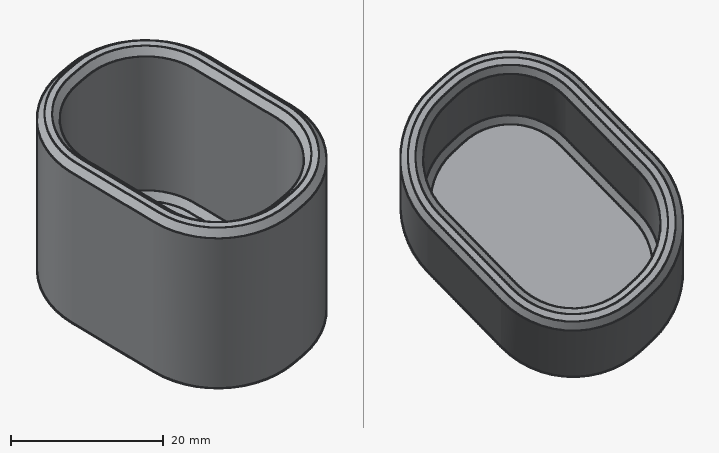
import cadquery as cq

length = 40.0
width = 28.0
height = 30.0
corner_radius = 13.0
wall = 3.0
floor = wall
chamfer = 1.0


def rounded_block(inset, bottom, top):
    """Upright block with rounded corners, inset evenly from the outer outline."""
    return (
        cq.Workplane("XY")
        .workplane(offset=bottom)
        .rect(length - 2 * inset, width - 2 * inset)
        .extrude(top - bottom)
        .edges("|Z")
        .fillet(corner_radius - inset)
    )


body = rounded_block(0, 0, height).faces("<Z or >Z").edges().chamfer(chamfer)

pocket = rounded_block(wall, floor, height).faces("<Z").edges().chamfer(chamfer)

cup = body.cut(pocket)
result = cup.faces(">Z").wires(cq.selectors.LengthNthSelector(0)).chamfer(chamfer)